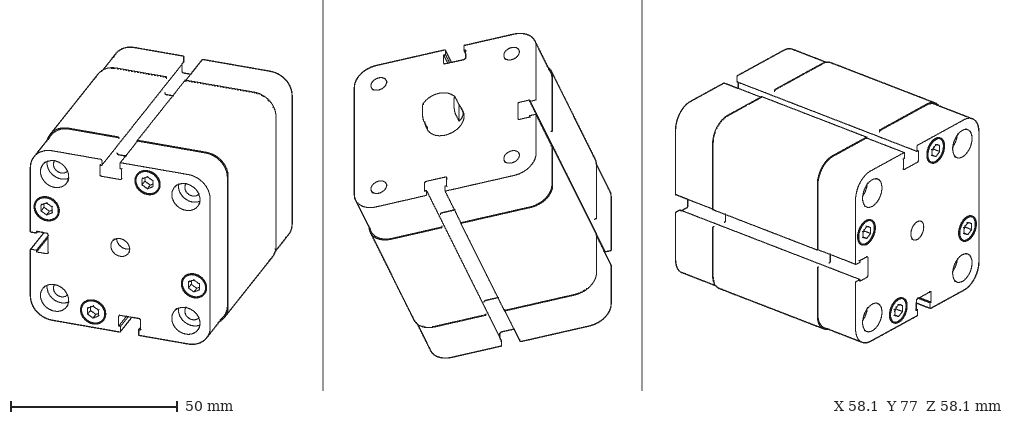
import cadquery as cq
import math


BARREL_SIDE = 58.1
CORNER_RADIUS = 7.0
CAP_INSET = 0.28
CAP_SIDE = BARREL_SIDE - 2 * CAP_INSET
CAP_LENGTH = 14.75
TOTAL_LENGTH = 77.0
ROD_PROJECTION = 6.5
HOUSING_LENGTH = TOTAL_LENGTH - ROD_PROJECTION
BARREL_LENGTH = HOUSING_LENGTH - 2 * CAP_LENGTH
BARREL_END = CAP_LENGTH + BARREL_LENGTH

SLOT_OFFSET = 3.0
SLOT_MOUTH_WIDTH = 5.8
SLOT_WIDTH = 6.95
CAP_SLOT_DEPTH = 6.0
SLOT_FLOOR_STEP = 0.1
SLOT_LIP_THICKNESS = 2.3
SLOT_LIP_Z = BARREL_SIDE / 2 - SLOT_LIP_THICKNESS
CAP_SLOT_FLOOR_Z = BARREL_SIDE / 2 - CAP_SLOT_DEPTH
BARREL_SLOT_FLOOR_Z = CAP_SLOT_FLOOR_Z - SLOT_FLOOR_STEP
SLOT_FLOOR_RADIUS = 0.5
SLOT_LIP_RADIUS = 0.3
SLOT_ANGLES = (0, 90, 180)

HOUSING_SECTIONS = (
    (0, CAP_LENGTH, CAP_SIDE / 2, CAP_SLOT_FLOOR_Z),
    (CAP_LENGTH, BARREL_LENGTH, BARREL_SIDE / 2, BARREL_SLOT_FLOOR_Z),
    (BARREL_END, CAP_LENGTH, CAP_SIDE / 2, CAP_SLOT_FLOOR_Z),
)

MOUNT_PITCH = 42.0
MOUNT_HOLE_DIAMETER = 4.92
MOUNT_BORE_DIAMETER = 9.0
MOUNT_BORE_DEPTH = 5.7

SCREW_SIDE_OFFSET = 8.7
SCREW_AXIS_DISTANCE = 23.55
SCREW_RECESS_DIAMETER = 8.0
SCREW_HEAD_DIAMETER = 7.5
SCREW_GAP_DEPTH = 0.25
HEX_ACROSS_FLATS = 3.5
HEX_DEPTH = 2.5
SCREW_ANGLES = (0, 90, 180, 270)

CENTRE_HOLE_DIAMETER = 6.0
CENTRE_HOLE_DEPTH = 5.0

ROD_DIAMETER = 12.0
ROD_TIP_RADIUS = 1.2
ROD_ACROSS_FLATS = 10.0
ROD_FLAT_LENGTH = 4.7
ROD_FLAT_RUNOUT = 0.7


def end_plane(y):
    """Workplane across the axis at Y = y: local x is X, local y is Z, normal is -Y."""
    return cq.Workplane("XZ", origin=(0, y, 0))


def rounded_block(side, start, length):
    """Square block with rounded long edges, running from start toward +Y."""
    block = end_plane(start).rect(side, side).extrude(-length)
    return block.edges("|Y").fillet(CORNER_RADIUS)


def housing():
    front_cap = rounded_block(CAP_SIDE, 0, CAP_LENGTH)
    barrel = rounded_block(BARREL_SIDE, CAP_LENGTH, BARREL_LENGTH)
    rod_cap = rounded_block(CAP_SIDE, BARREL_END, CAP_LENGTH)
    return front_cap.union(barrel).union(rod_cap)


def lip_rounding(edge_x, face_z, side, start, length):
    """Cutter that rounds one slot lip; side is +1 or -1 toward the lip material."""
    lip_x = edge_x + side * SLOT_LIP_RADIUS
    lip_z = face_z - SLOT_LIP_RADIUS
    diagonal = SLOT_LIP_RADIUS * math.sqrt(0.5)
    return (
        end_plane(start)
        .moveTo(edge_x, face_z)
        .lineTo(edge_x, lip_z)
        .threePointArc((lip_x - side * diagonal, lip_z + diagonal), (lip_x, face_z))
        .close()
        .extrude(-length)
    )


def sensor_slot(start, length, face_z, floor_z):
    """T-shaped slot cutter for the +Z side of one housing section."""
    mouth_height = face_z - floor_z
    mouth = (
        end_plane(start)
        .center(-SLOT_OFFSET, floor_z + mouth_height / 2)
        .rect(SLOT_MOUTH_WIDTH, mouth_height)
        .extrude(-length)
    )
    channel_height = SLOT_LIP_Z - floor_z
    channel = (
        end_plane(start)
        .center(-SLOT_OFFSET, floor_z + channel_height / 2)
        .rect(SLOT_WIDTH, channel_height)
        .extrude(-length)
        .edges("|Y and <Z")
        .fillet(SLOT_FLOOR_RADIUS)
    )
    slot = mouth.union(channel)
    for side in (-1, 1):
        edge_x = -SLOT_OFFSET + side * SLOT_MOUTH_WIDTH / 2
        slot = slot.union(lip_rounding(edge_x, face_z, side, start, length))
    return slot


def cut_sensor_slots(body):
    for section in HOUSING_SECTIONS:
        slot = sensor_slot(*section)
        for angle in SLOT_ANGLES:
            body = body.cut(slot.rotate((0, 0, 0), (0, 1, 0), -angle))
    return body


def cut_mounting_holes(body):
    corners = end_plane(0).rect(MOUNT_PITCH, MOUNT_PITCH, forConstruction=True).vertices()
    holes = corners.circle(MOUNT_HOLE_DIAMETER / 2).extrude(-HOUSING_LENGTH)
    bores = corners.circle(MOUNT_BORE_DIAMETER / 2).extrude(-MOUNT_BORE_DEPTH)
    return body.cut(holes).cut(bores)


def cut_cap_screws(body):
    """Mark each flush socket head by the gap around it and its hexagon socket."""
    hex_corner_diameter = HEX_ACROSS_FLATS / math.cos(math.pi / 6)
    radius = math.hypot(SCREW_SIDE_OFFSET, SCREW_AXIS_DISTANCE)
    first_angle = math.atan2(SCREW_AXIS_DISTANCE, SCREW_SIDE_OFFSET)
    for turn in SCREW_ANGLES:
        angle = first_angle + math.radians(turn)
        face = end_plane(0).center(radius * math.cos(angle), radius * math.sin(angle))
        gap = (
            face.circle(SCREW_RECESS_DIAMETER / 2)
            .circle(SCREW_HEAD_DIAMETER / 2)
            .extrude(-SCREW_GAP_DEPTH)
        )
        socket = (
            face.transformed(rotate=(0, 0, 90))
            .polygon(6, hex_corner_diameter)
            .extrude(-HEX_DEPTH)
        )
        body = body.cut(gap).cut(socket)
    return body


def cut_centre_hole(body):
    hole = end_plane(0).circle(CENTRE_HOLE_DIAMETER / 2).extrude(-CENTRE_HOLE_DEPTH)
    return body.cut(hole)


def piston_rod():
    """Rod end with a rounded tip and two wrench flats with sloped run-outs."""
    radius = ROD_DIAMETER / 2
    rod = end_plane(HOUSING_LENGTH).circle(radius).extrude(-ROD_PROJECTION)
    rod = rod.faces(">Y").fillet(ROD_TIP_RADIUS)
    flat_x = ROD_ACROSS_FLATS / 2
    flat_start = TOTAL_LENGTH - ROD_FLAT_LENGTH
    flat = (
        cq.Workplane("XY")
        .moveTo(flat_x, TOTAL_LENGTH)
        .lineTo(flat_x, flat_start)
        .lineTo(radius, flat_start - ROD_FLAT_RUNOUT)
        .lineTo(radius, TOTAL_LENGTH)
        .close()
        .extrude(radius, both=True)
    )
    return rod.cut(flat).cut(flat.mirror("YZ"))


body = cut_sensor_slots(housing())
body = cut_mounting_holes(body)
body = cut_cap_screws(body)
body = cut_centre_hole(body)
result = body.union(piston_rod())